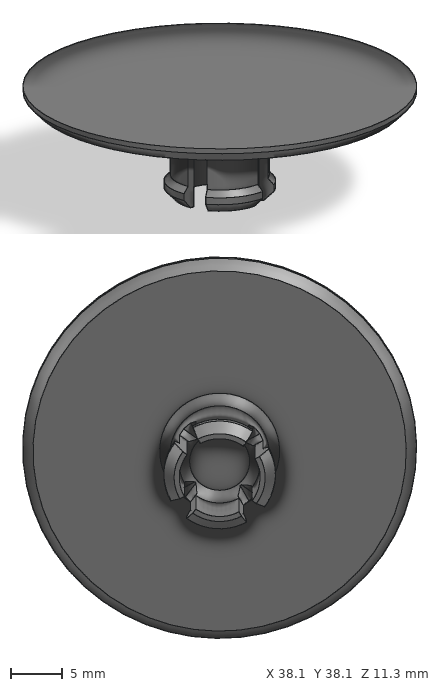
import cadquery as cq
import math

total_height = 11.3

disc_radius = 38.1 / 2
disc_rim_height = 0.5
disc_thickness = 1.5
disc_chamfer = disc_thickness - disc_rim_height

stem_radius = 9.6 / 2
flare_height = 1.0

bead_radius = 5.4
bead_top_depth = 9.0
bead_lead_in = 1.0
bead_step = bead_radius - stem_radius

bore_radius = 3.9
bore_wall_depth = 6.3
bore_cone_height = 1.0

slot_count = 4
slot_angle = 25.0
slot_roof_depth = 5.5
slot_bevel = 0.6
slot_reach = 2 * bead_radius


def make_body():
    """Revolve the disc, flare, stem and bead as one outline."""
    outline = [
        (0, 0),
        (disc_radius, 0),
        (disc_radius, -disc_rim_height),
        (disc_radius - disc_chamfer, -disc_thickness),
        (stem_radius + flare_height, -disc_thickness),
        (stem_radius, -disc_thickness - flare_height),
        (stem_radius, -bead_top_depth),
        (bead_radius, -bead_top_depth - bead_step),
        (bead_radius, -total_height + bead_lead_in),
        (bead_radius - bead_lead_in, -total_height),
        (0, -total_height),
    ]
    return cq.Workplane("XZ").polyline(outline).close().revolve(360, (0, 0, 0), (0, 1, 0))


def make_bore():
    """Revolve the cylindrical bore with its conical end."""
    outline = [
        (0, -total_height),
        (bore_radius, -total_height),
        (bore_radius, -bore_wall_depth),
        (bore_radius - bore_cone_height, -bore_wall_depth + bore_cone_height),
        (0, -bore_wall_depth + bore_cone_height),
    ]
    return cq.Workplane("XZ").polyline(outline).close().revolve(360, (0, 0, 0), (0, 1, 0))


def make_slot():
    """Sector from the -Y axis towards +X, bevelled along both roof edges."""
    end_x = slot_reach * math.tan(math.radians(slot_angle))
    return (
        cq.Workplane("XY")
        .workplane(offset=-total_height)
        .polyline([(0, 0), (0, -slot_reach), (end_x, -slot_reach)])
        .close()
        .extrude(total_height - slot_roof_depth)
        .faces(">Z")
        .edges("not |X")
        .chamfer(slot_bevel)
    )


result = make_body().cut(make_bore())
for index in range(slot_count):
    turn = index * 360 / slot_count
    result = result.cut(make_slot().rotate((0, 0, 0), (0, 0, 1), turn))